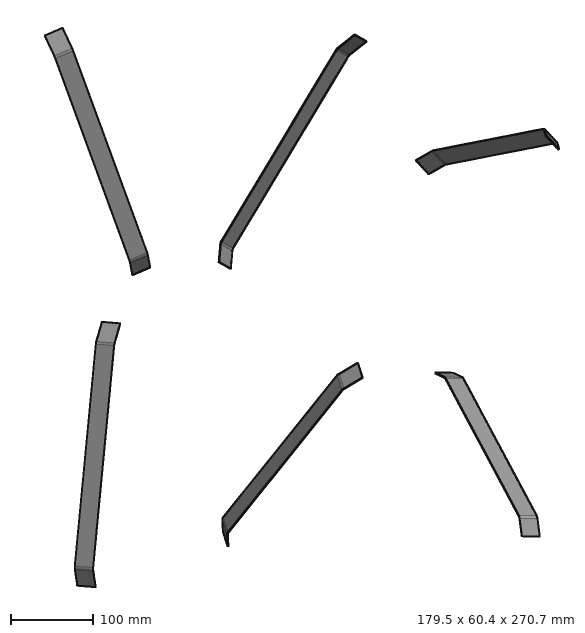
import cadquery as cq
import math

SIZE_X = 179.5
SIZE_Y = 60.5
SIZE_Z = 270.7

STRIP_WIDTH = 24.0
THICKNESS = 1.5
INNER_RADIUS = 6.0
OUTER_RADIUS = INNER_RADIUS + THICKNESS
TILT = 7.8

TOP_FLANGE = 29.5
TOP_SLOPE = math.radians(30)
BOTTOM_FLANGE = 25.5
BOTTOM_SLOPE = math.radians(90)

tilt = math.radians(TILT)
profile_height = (SIZE_Z - STRIP_WIDTH * math.sin(tilt)) / math.cos(tilt)

top_end = (THICKNESS * math.sin(TOP_SLOPE), profile_height)
top_bend = (
    top_end[0] + TOP_FLANGE * math.cos(TOP_SLOPE),
    top_end[1] - TOP_FLANGE * math.sin(TOP_SLOPE),
)
bottom_bend = (SIZE_X, BOTTOM_FLANGE)
bottom_end = (SIZE_X, 0)

web_slope = math.atan2(top_bend[1] - bottom_bend[1], bottom_bend[0] - top_bend[0])


def inner_point(outer_point, slope_before, slope_after):
    """Point on the inner face across the strip, on the bisector of a bend."""
    bisector = (slope_before + slope_after) / 2
    reach = THICKNESS / math.cos((slope_after - slope_before) / 2)
    return (
        outer_point[0] - reach * math.sin(bisector),
        outer_point[1] - reach * math.cos(bisector),
    )


def round_bend(strip, outer_corner, inner_corner):
    """Round both faces of one bend about a common centre."""
    for (x, z), radius in ((outer_corner, OUTER_RADIUS), (inner_corner, INNER_RADIUS)):
        corner_edge = cq.selectors.NearestToPointSelector((x, STRIP_WIDTH / 2, z))
        strip = strip.edges("|Y").edges(corner_edge).fillet(radius)
    return strip


top_bend_inner = inner_point(top_bend, TOP_SLOPE, web_slope)
bottom_bend_inner = inner_point(bottom_bend, web_slope, BOTTOM_SLOPE)
outline = [
    top_end,
    top_bend,
    bottom_bend,
    bottom_end,
    inner_point(bottom_end, BOTTOM_SLOPE, BOTTOM_SLOPE),
    bottom_bend_inner,
    top_bend_inner,
    inner_point(top_end, TOP_SLOPE, TOP_SLOPE),
]

strip = cq.Workplane("XZ").polyline(outline).close().extrude(-STRIP_WIDTH)
strip = round_bend(strip, top_bend, top_bend_inner)
strip = round_bend(strip, bottom_bend, bottom_bend_inner)

strip = strip.rotate((0, 0, 0), (1, 0, 0), TILT)
lean = profile_height * math.sin(tilt)
result = strip.translate((-SIZE_X / 2, lean - SIZE_Y / 2, 0))